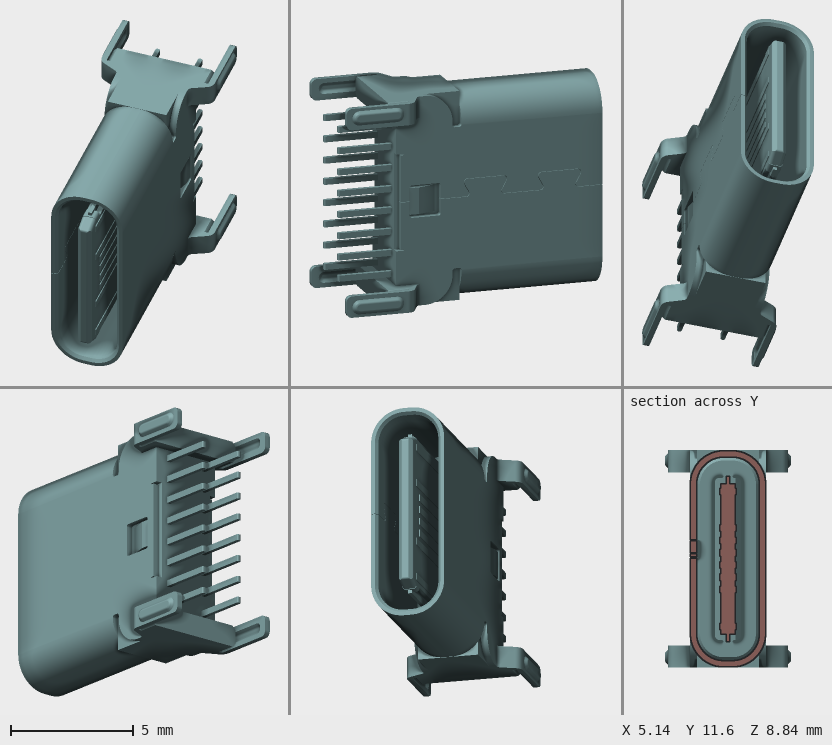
import cadquery as cq
import math


total_width = 5.14
height = 8.84
half_height = height / 2
total_length = 11.62
tongue_reach = 0.38
tab_end = total_length - tongue_reach

shell_width = 3.09
half_width = shell_width / 2
shell_height = 8.82
shell_half_height = shell_height / 2
shell_length = 6.03
shell_radius = 1.37
wall = 0.28
core_half_width = half_width - wall
mouth_inner_chamfer = 0.12
floor_y = 5.81
floor_groove = 0.13

body_end = 8.83
end_block_end = 9.34
corner_relief_z = 2.99
corner_relief_y = 6.41
corner_relief_radius = 1.19
corner_relief_fillet = 0.1
rear_notch_depth = 0.2
rear_notch_half_height = 2.05
relief_slit_length = 0.36
relief_slit_height = 0.05

tab_height = 0.91
tab_inner_z = half_height - tab_height
tab_half_span = 2.44
tab_thickness = 0.24
tab_bend_radius = 0.38
tab_root_radius = 0.2
tab_root_y = 7.92
tab_slope = math.radians(26)
tab_end_radius = 0.23
block_edge_chamfer = 0.16
block_edge_start = 8.47

bead_length = 2.21
bead_width = 0.6
bead_y = 9.89
bead_z = 4.0
bead_height = total_width / 2 - tab_half_span
bead_taper = 45
bead_fillet = 0.1
dent_width = 0.46

pin_rows = 8
pin_row_span = 6.3
pin_pitch = pin_row_span / (pin_rows - 1)
pin_x = 0.92
pin_width = 0.19
pin_height = 0.25
pin_end = 11.13
pin_tip_chamfer = 0.05

window_front = 6.93
window_rear = 8.25
window_height = 1.37
window_fillet = 0.09
latch_front = 7.09
latch_rear = 8.22
latch_ramp_end = 7.83
latch_height = 1.13
latch_rise = 0.23

seam_gap = 0.017
seam_fillet = 0.14
dovetail_centers = (1.84, 5.01)
dovetail_height = 0.75
dovetail_root = 1.16
dovetail_top = 2.02

tongue_thickness = 0.6
tongue_end_fillet = 0.15
tongue_tip_half_width = 0.14
tongue_tip_bevel = 0.15
tongue_tip_fillet = 0.06
nose_end_fillet = 0.09
nose_end = 0.25
nose_tip_half_height = 2.97
nose_half_height = 3.22
shoulder_end = 0.7
shoulder_half_height = 3.24
notch_half_height = 3.07
tongue_base_width = 1.07
tongue_base_half_height = 3.3
tongue_base_start = 4.65
tongue_base_fillet = 0.19
collar_margin = 0.03
collar_thickness = 0.23
mid_plate_width = 0.15
mid_plate_half_height = 3.38
mid_plate_start = 0.35

contact_pitch = 0.5
contact_width = 0.29
contact_rise = 0.03
long_contact_start = 0.15
short_contact_start = 0.66
long_contact_steps = (2.5, 5.5)
short_contact_steps = (0.5, 1.5)


def box(x0, x1, y0, y1, z0, z1):
    return cq.Workplane("XY").box(x1 - x0, y1 - y0, z1 - z0, centered=False).translate((x0, y0, z0))


def mirrored_in_x(solid):
    return solid.union(solid.mirror("YZ"))


def mirrored_in_z(solid):
    return solid.union(solid.mirror("XY"))


def rounded_prism(inset, y0, y1):
    """Rounded shell outline, shrunk by inset, running from y0 to y1."""
    x = half_width - inset
    z = shell_half_height - inset
    prism = box(-x, x, y0, y1, -z, z)
    return prism.edges("|Y").fillet(shell_radius - inset)


def make_floor_groove():
    """Ring cut around the bevelled front edge of the insulator inside the shell."""
    ring = rounded_prism(wall, floor_y, floor_y + floor_groove)
    bevelled = (
        rounded_prism(wall, floor_y, floor_y + 2 * floor_groove)
        .faces("<Y").chamfer(floor_groove)
    )
    return ring.cut(bevelled)


def make_shell():
    outer = rounded_prism(0, 0, shell_length)
    cavity = rounded_prism(wall, 0, floor_y)
    mouth = (
        rounded_prism(wall - mouth_inner_chamfer, -mouth_inner_chamfer, mouth_inner_chamfer)
        .faces(">Y").chamfer(mouth_inner_chamfer)
    )
    return outer.cut(cavity).cut(mouth).cut(make_floor_groove())


def make_corner_relief():
    """Cutter for the -X sheet beside the top front corner of the body."""
    arc_y = corner_relief_y + corner_relief_radius
    arc_z = half_height - corner_relief_radius
    diagonal = corner_relief_radius * math.sqrt(0.5)
    relief = (
        cq.Workplane("YZ", origin=(-half_width, 0, 0))
        .moveTo(shell_length, corner_relief_z)
        .lineTo(corner_relief_y, corner_relief_z)
        .lineTo(corner_relief_y, arc_z)
        .threePointArc((arc_y - diagonal, arc_z + diagonal), (arc_y, half_height))
        .lineTo(shell_length, half_height)
        .close()
        .extrude(wall)
    )
    return relief.edges("|X and <Z").fillet(corner_relief_fillet)


def make_rear_notch():
    """Cutback at the rear edge of the -X sheet, with a thin relief slit at each end."""
    top = rear_notch_half_height
    notch = box(-half_width, -core_half_width, body_end - rear_notch_depth, body_end, -top, top)
    slit = box(-half_width, -core_half_width, body_end - relief_slit_length, body_end,
               top - relief_slit_height, top)
    return notch.union(mirrored_in_z(slit))


def make_window():
    window = box(-half_width, -core_half_width, window_front, window_rear,
                 -window_height / 2, window_height / 2)
    return window.edges("|X").fillet(window_fillet)


def make_latch():
    """Ramped catch of the insulator standing in the -X window."""
    crest = -core_half_width - latch_rise
    return (
        cq.Workplane("XY", origin=(0, 0, -latch_height / 2))
        .polyline([(-core_half_width, latch_front), (crest, latch_ramp_end),
                   (crest, latch_rear), (-core_half_width, latch_rear)])
        .close()
        .extrude(latch_height)
    )


def make_body():
    body = box(-half_width, half_width, shell_length, body_end, -half_height, half_height)
    body = body.cut(mirrored_in_x(mirrored_in_z(make_corner_relief())))
    body = body.cut(mirrored_in_x(make_rear_notch()))
    body = body.cut(mirrored_in_x(make_window()))
    return body


def make_bead(width, x):
    """Tapered slot-shaped bead pointing to -X, with its base at the given x."""
    bead = (
        cq.Workplane("YZ", origin=(x, bead_y, bead_z))
        .slot2D(bead_length - bead_width + width, width)
        .extrude(-bead_height, taper=bead_taper)
    )
    return bead.faces("<X").edges().fillet(bead_fillet)


def make_tab():
    """Cranked tab at -X and +Z, together with the half block that backs it."""
    outer_x = -tab_half_span
    inner_x = outer_x + tab_thickness
    tab_start = corner_relief_y + corner_relief_radius
    crank_y = tab_root_y + (tab_half_span - half_width) * math.tan(tab_slope)
    solid = (
        cq.Workplane("XY", origin=(0, 0, tab_inner_z))
        .polyline([(0, tab_start), (-half_width, tab_start), (-half_width, tab_root_y),
                   (outer_x, crank_y), (outer_x, tab_end), (inner_x, tab_end),
                   (inner_x, end_block_end), (0, end_block_end)])
        .close()
        .extrude(tab_height)
    )
    bend = cq.selectors.NearestToPointSelector((outer_x, crank_y, bead_z))
    solid = solid.edges(bend).fillet(tab_bend_radius)
    root = cq.selectors.NearestToPointSelector((-half_width, tab_root_y, bead_z))
    solid = solid.edges(root).fillet(tab_root_radius)
    solid = solid.faces(">Y").edges("|X").fillet(tab_end_radius)
    return solid


def make_tab_bevels():
    """Bevels that part the block edges from the inside of the -X, +Z tab."""
    inner_x = tab_thickness - tab_half_span
    bevel = (
        cq.Workplane("XZ", origin=(0, end_block_end, 0))
        .polyline([(inner_x, half_height), (inner_x + block_edge_chamfer, half_height),
                   (inner_x, half_height - block_edge_chamfer)])
        .close()
        .extrude(end_block_end - block_edge_start)
    )
    middle = tab_inner_z + tab_height / 2
    return bevel.union(bevel.mirror("XY", basePointVector=(0, 0, middle)))


def make_tabs():
    tab = make_tab().cut(make_tab_bevels())
    tab = tab.union(make_bead(bead_width, -tab_half_span))
    tab = tab.cut(make_bead(dent_width, tab_thickness - tab_half_span))
    return mirrored_in_z(mirrored_in_x(tab))


def make_pins():
    pins = cq.Workplane("XY")
    for row in range(pin_rows):
        z = row * pin_pitch - pin_row_span / 2
        pin = box(-pin_x - pin_width / 2, -pin_x + pin_width / 2, body_end, pin_end,
                  z - pin_height / 2, z + pin_height / 2)
        pins = pins.union(pin.faces(">Y").edges("|Z").chamfer(pin_tip_chamfer))
    return mirrored_in_x(pins)


def make_seam():
    """Thin slit through the -X wall that follows two dovetails."""
    depth = 2 * dovetail_height
    outline = [(0, -depth), (0, 0)]
    for center in dovetail_centers:
        outline += [(center - dovetail_root / 2, 0), (center - dovetail_top / 2, dovetail_height),
                    (center + dovetail_top / 2, dovetail_height), (center + dovetail_root / 2, 0)]
    seam_end = body_end - rear_notch_depth
    outline += [(seam_end, 0), (seam_end, -depth)]

    dovetail_zone = cq.selectors.BoxSelector(
        (-shell_width, seam_gap, -dovetail_height / 2), (0, seam_end - seam_gap, depth))
    lower = cq.Workplane("YZ", origin=(-half_width, 0, 0)).polyline(outline).close().extrude(wall)
    lower = lower.edges("|X").edges(dovetail_zone).fillet(seam_fillet)
    widened_wire = lower.faces("<X").val().outerWire().offset2D(seam_gap)[0]
    widened = cq.Solid.extrudeLinear(widened_wire, [], cq.Vector(wall, 0, 0))
    slit = cq.Workplane(widened).cut(lower)
    return slit.intersect(box(-half_width, -core_half_width, 0, seam_end, -seam_gap, depth))


def make_tongue_nose():
    """Front stretch of the tongue, narrowing in height towards its rounded, bevelled tip."""
    half_thickness = tongue_thickness / 2
    nose = (
        cq.Workplane("YZ", origin=(-half_thickness, 0, 0))
        .polyline([(-tongue_reach, -nose_tip_half_height), (nose_end, -nose_half_height),
                   (nose_end, nose_half_height), (-tongue_reach, nose_tip_half_height)])
        .close()
        .extrude(tongue_thickness)
    )
    nose = nose.faces(">Z or <Z").edges("not |X").fillet(tongue_end_fillet)
    tip_outline = (
        cq.Workplane("XY", origin=(0, 0, -nose_half_height))
        .polyline([(-tongue_tip_half_width, -tongue_reach), (tongue_tip_half_width, -tongue_reach),
                   (half_thickness, tongue_tip_bevel - tongue_reach), (half_thickness, nose_end),
                   (-half_thickness, nose_end), (-half_thickness, tongue_tip_bevel - tongue_reach)])
        .close()
        .extrude(2 * nose_half_height)
    )
    tip_outline = tip_outline.edges("|Z").edges("not >Y").fillet(tongue_tip_fillet)
    nose = nose.faces("<Y").edges("|X").fillet(nose_end_fillet)
    return nose.intersect(tip_outline)


def make_tongue_base():
    """Thick root of the tongue, ramped at 45 degrees down to the blade."""
    half_thickness = tongue_thickness / 2
    base_half = tongue_base_width / 2
    ramp = base_half - half_thickness

    def rounded_slab(margin, start):
        slab = box(-base_half - margin, base_half + margin, start, floor_y,
                   -tongue_base_half_height - margin, tongue_base_half_height + margin)
        return slab.edges("|Y").fillet(tongue_base_fillet + margin)

    base = (
        cq.Workplane("XY", origin=(0, 0, -tongue_base_half_height))
        .polyline([(-half_thickness, tongue_base_start - ramp), (-base_half, tongue_base_start),
                   (-base_half, floor_y), (base_half, floor_y),
                   (base_half, tongue_base_start), (half_thickness, tongue_base_start - ramp)])
        .close()
        .extrude(2 * tongue_base_half_height)
    )
    base = base.intersect(rounded_slab(0, tongue_base_start - ramp))
    return base.union(rounded_slab(collar_margin, floor_y - collar_thickness))


def make_tongue():
    half_thickness = tongue_thickness / 2
    shoulder = box(-half_thickness, half_thickness, nose_end, shoulder_end,
                   -shoulder_half_height, shoulder_half_height).edges("|Y").fillet(tongue_end_fillet)
    blade = box(-half_thickness, half_thickness, shoulder_end, floor_y, -notch_half_height, notch_half_height)
    half_plate = mid_plate_width / 2
    mid_plate = box(-half_plate, half_plate, mid_plate_start, floor_y,
                    -mid_plate_half_height, mid_plate_half_height)
    return make_tongue_nose().union(shoulder).union(blade).union(mid_plate).union(make_tongue_base())


def make_contacts():
    contacts = cq.Workplane("XY")
    reach = tongue_thickness / 2 + contact_rise
    rows = ((long_contact_start, long_contact_steps), (short_contact_start, short_contact_steps))
    for start, steps in rows:
        for step in steps:
            z = step * contact_pitch
            strip = box(-reach, reach, start, tongue_base_start, z - contact_width / 2, z + contact_width / 2)
            contacts = contacts.union(mirrored_in_z(strip))
    return contacts


result = make_body().union(make_tabs()).union(make_shell()).union(make_pins()).cut(make_seam())
result = result.union(mirrored_in_x(make_latch())).union(make_tongue()).union(make_contacts())